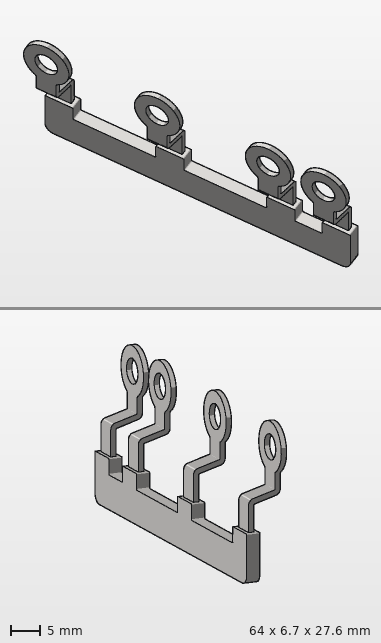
import cadquery as cq
import math

overall_length = 64.0
overall_depth = 6.7
overall_height = 27.6

ring_diameter = 9.0
hole_diameter = 4.5
strip_width = 4.0
strip_thickness = 1.0
neck_radius = 0.5
bend_slope = 15.0
bend_inner_radius = 0.1
bend_outer_radius = bend_inner_radius + strip_thickness
lower_bend_height = 13.9

bar_thickness = 2.5
bar_height = 6.15
boss_top = 9.0
boss_width = 5.6
bottom_corner_radius = 1.8
boss_edge_radius = 0.2

pitch_positions = [0, 2, 4, 5]
pitch = (overall_length - ring_diameter) / pitch_positions[-1]
ring_radius = ring_diameter / 2
terminal_xs = [ring_radius + position * pitch for position in pitch_positions]
ring_center_z = overall_height - ring_radius

bar_front = overall_depth - bar_thickness
shank_front = bar_front + (bar_thickness - strip_thickness) / 2
shank_back = shank_front + strip_thickness


def make_bar():
    """Straight bar with one raised boss under each terminal."""
    top_profile = []
    for x in terminal_xs:
        boss_left = x - boss_width / 2
        boss_right = x + boss_width / 2
        top_profile += [
            (boss_left, bar_height),
            (boss_left, boss_top),
            (boss_right, boss_top),
            (boss_right, bar_height),
        ]
    top_profile = top_profile[1:-1]
    left_end = top_profile[0][0]
    right_end = top_profile[-1][0]

    bar = (
        cq.Workplane("XZ", origin=(0, bar_front, 0))
        .polyline([(left_end, 0), *top_profile, (right_end, 0)])
        .close()
        .extrude(-bar_thickness)
    )
    bar = bar.edges("|Y and (not <Z)").fillet(boss_edge_radius)
    return bar.edges("|Y and <Z").fillet(bottom_corner_radius)


def make_strip():
    """Flat strip centred on X = 0, cranked forward from the boss to the ring."""
    slope = math.radians(bend_slope)
    miter = strip_thickness * math.tan((math.pi / 2 - slope) / 2)

    lower_inside = (shank_front, lower_bend_height)
    lower_outside = (shank_back, lower_bend_height + miter)
    upper_outside = (0, lower_bend_height + shank_front * math.tan(slope))
    upper_inside = (strip_thickness, upper_outside[1] + miter)

    strip = (
        cq.Workplane("YZ")
        .polyline([
            (shank_front, boss_top),
            lower_inside,
            upper_outside,
            (0, ring_center_z),
            (strip_thickness, ring_center_z),
            upper_inside,
            lower_outside,
            (shank_back, boss_top),
        ])
        .close()
        .extrude(strip_width / 2, both=True)
    )
    for corners, radius in (
        ((lower_inside, upper_inside), bend_inner_radius),
        ((lower_outside, upper_outside), bend_outer_radius),
    ):
        for y, z in corners:
            strip = strip.edges(cq.NearestToPointSelector((0, y, z))).fillet(radius)
    return strip


def make_terminal(x):
    """Cranked strip standing on a boss, ending in an upright ring."""
    ring_plane = cq.Workplane("XZ", origin=(0, 0, ring_center_z))
    disc = ring_plane.circle(ring_radius).extrude(-strip_thickness)
    hole = ring_plane.circle(hole_diameter / 2).extrude(-strip_thickness)
    terminal = make_strip().union(disc)

    neck_drop = math.sqrt(ring_radius**2 - (strip_width / 2) ** 2)
    for side in (-1, 1):
        neck_corner = (side * strip_width / 2, strip_thickness / 2, ring_center_z - neck_drop)
        terminal = terminal.edges(cq.NearestToPointSelector(neck_corner)).fillet(neck_radius)
    return terminal.cut(hole).translate((x, 0, 0))


bar = make_bar()
terminals = [make_terminal(x) for x in terminal_xs]
result = cq.Compound.makeCompound([bar.val(), *[terminal.val() for terminal in terminals]])